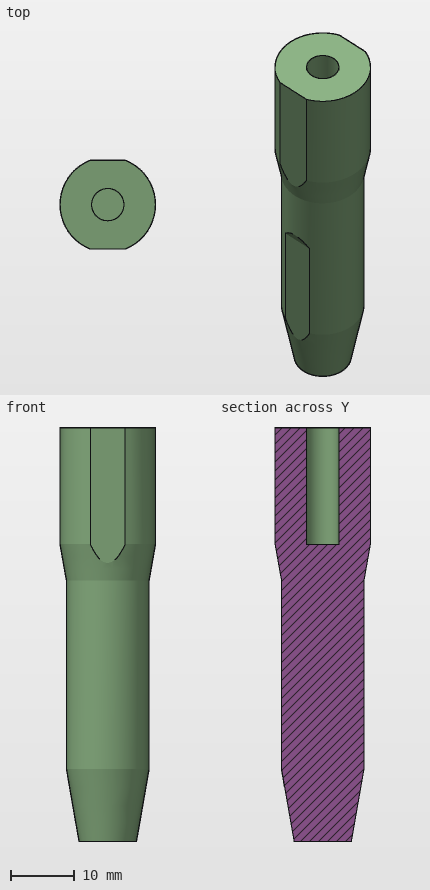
import cadquery as cq

length = 65.0

head_diameter = 15.0
head_length = 18.3
head_flat_distance = 14.0
bore_diameter = 5.1
bore_depth = head_length

collar_length = 5.7

shank_diameter = 13.0
tip_diameter = 9.05
tip_length = 11.4

relief_distance = 6.0
relief_top = 32.1
relief_ramp_length = 1.7


def turned_body():
    """Solid of revolution about Z, standing on Z = 0."""
    head_bottom = length - head_length
    shank_top = head_bottom - collar_length
    outline = [
        (0, 0),
        (tip_diameter / 2, 0),
        (shank_diameter / 2, tip_length),
        (shank_diameter / 2, shank_top),
        (head_diameter / 2, head_bottom),
        (head_diameter / 2, length),
        (0, length),
    ]
    return cq.Workplane("XZ").polyline(outline).close().revolve(360, (0, 0, 0), (0, 1, 0))


def head_flats_envelope():
    """Slab whose Y faces cut the two flats on the head."""
    return cq.Workplane("XY").box(head_diameter, head_flat_distance, length, centered=(True, True, False))


def bore():
    """Blind flat-bottomed hole down from the top face."""
    return cq.Workplane("XY").workplane(offset=length - bore_depth).circle(bore_diameter / 2).extrude(bore_depth)


def relief_cutter():
    """Wedge-ended block that cuts the relief flat."""
    shank_radius = shank_diameter / 2
    outline = [
        (relief_distance, 0),
        (shank_radius, 0),
        (shank_radius, relief_top),
        (relief_distance, relief_top - relief_ramp_length),
    ]
    return cq.Workplane("YZ").polyline(outline).close().extrude(shank_radius, both=True)


result = turned_body().intersect(head_flats_envelope()).cut(bore()).cut(relief_cutter())